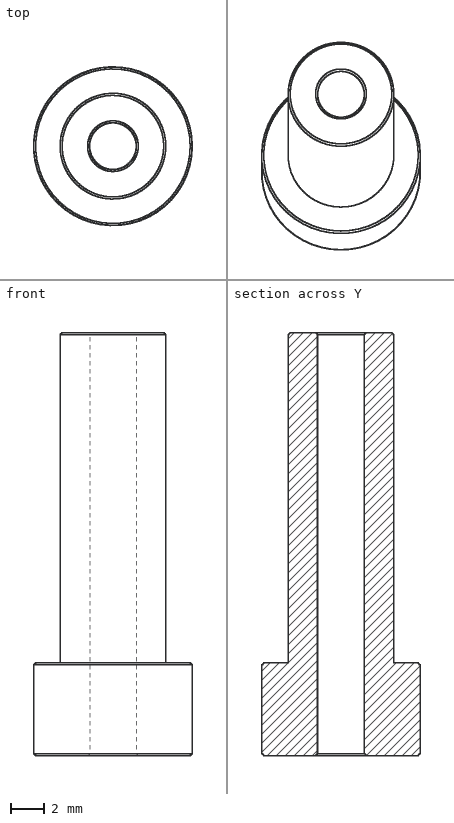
import cadquery as cq

total_length = 25.4
head_diameter = 9.52
head_height = 5.6
shank_diameter = 6.35
bore_diameter = 2.8
edge_chamfer = 0.13

head = cq.Workplane("XY").circle(head_diameter / 2).extrude(head_height).edges().chamfer(edge_chamfer)

shank = (
    cq.Workplane("XY")
    .circle(shank_diameter / 2)
    .extrude(total_length)
    .faces(">Z")
    .chamfer(edge_chamfer)
)

bore = cq.Workplane("XY").circle(bore_diameter / 2).extrude(total_length)
body = head.union(shank).cut(bore)
bore_mouths = body.edges(cq.selectors.RadiusNthSelector(0)).edges("%CIRCLE")
result = bore_mouths.chamfer(edge_chamfer)